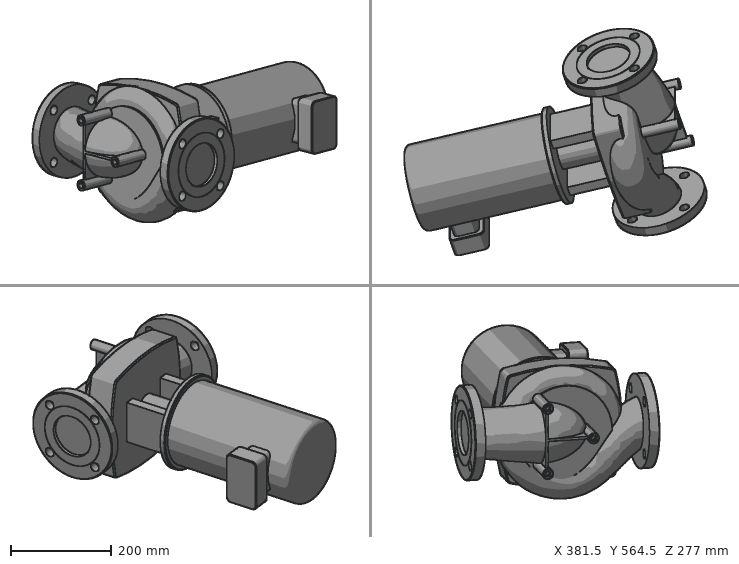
import cadquery as cq
import math


MOTOR_RADIUS = 88.5
MOTOR_BACK_Y = 459.0
MOTOR_END_FILLET = 11.5
DISC_RADIUS = 99.0
DISC_FRONT_Y = 158.0
DISC_BACK_Y = 169.5
DISC_CHAMFER = 2.0
TERMINAL_Y = 383.0
BOX_INNER_X = 105.0
BOX_OUTER_X = 145.5
BOX_LENGTH = 72.0
BOX_HEIGHT = 109.5
BOX_CHAMFER = 1.5
NECK_INSET = 9.5
TERMINAL_CORNER_RADIUS = 11.0

BRACKET_THICKNESS = 21.0
BRACKET_HEIGHT = 90.0
BRACKET_CENTRE_X = 60.0
SHAFT_RADIUS = 30.0

HOUSING_BACK_Y = 59.5
HOUSING_FRONT_Y = 0.0
HOUSING_HALF_WIDTH = 125.0
HOUSING_CORNER = 110.5
HOUSING_CORNER_RADIUS = 11.5
HOUSING_CHAMFER = 3.0

EYE_RADIUS = 97.0
EYE_CENTRE_Z = -7.0
EYE_FRONT_Y = -27.5
EYE_BACK_Y = 28.0
SCROLL_CENTRE_X = 1.5
SCROLL_START_ANGLE = -15
SCROLL_JOIN_ANGLE = 30
SCROLL_GROWTH_ANGLE = 90
SCROLL_END_ANGLE = 270
SCROLL_STEP = 15
SCROLL_START_REACH = 124.0
SCROLL_END_REACH = 152.0
SCROLL_START_TUBE = 27.5
SCROLL_END_TUBE = 39.5
SCROLL_START_Y = 3.5
SCROLL_END_Y = 10.0

FLANGE_DIAMETER = 190.5
FLANGE_RADIUS = FLANGE_DIAMETER / 2
FLANGE_THICKNESS = 22.0
FLANGE_CHAMFER = 1.5
INLET_FACE_X = -203.5
OUTLET_FACE_X = 178.0
RAISED_FACE_RADIUS = 65.5
RAISED_FACE_HEIGHT = 0.5
BORE_RADIUS = 44.5
BORE_DEPTH = 8.0
BOLT_HOLE_DIAMETER = 19.0
BOLT_CIRCLE_DIAMETER = 152.5
BOLT_COUNT = 4
INLET_PIPE_START_Y = -3.5
INLET_PIPE_START_RADIUS = 51.0
INLET_PIPE_MIDDLE_X = -124.0
INLET_PIPE_MIDDLE_Y = -24.5
INLET_PIPE_MIDDLE_RADIUS = 54.0
INLET_PIPE_SLOPE = -0.3
ELBOW_X = -56.5
ELBOW_Y = -34.5
ELBOW_RADIUS = 61.5
ELBOW_REACH = 97.5
OUTLET_STATIONS = [
    (53.0, 8.0, -96.0, 27, 41.0),
    (90.5, 5.0, -62.5, 45, 42.5),
    (123.0, 2.0, -28.0, 42, 45.0),
    (156.0, 0.5, -4.5, 28, 48.0),
    (186.5, 0.0, 9.0, 22, 49.5),
]

FOOT_DIAMETER = 21.5
FOOT_HOLE_DIAMETER = 11.5
FOOT_HOLE_DEPTH = 11.5
FOOT_CHAMFER = 1.0
FOOT_FRONT_Y = -105.5
FOOT_BACK_Y = 0.0
SIDE_FOOT_X = -55.5
SIDE_FOOT_Z = 67.0
END_FOOT_X = 39.0
RIB_THICKNESS = 5.0
RIB_FRONT_Y = -96.0


def disc_along_y(radius, front_y, back_y, x=0.0, z=0.0):
    plane = cq.Plane(origin=(x, front_y, z), xDir=(1, 0, 0), normal=(0, 1, 0))
    return cq.Workplane(plane).circle(radius).extrude(back_y - front_y)


def box_between(x_range, y_range, z_range):
    sizes = [high - low for low, high in (x_range, y_range, z_range)]
    corner = (x_range[0], y_range[0], z_range[0])
    return cq.Workplane("XY").box(*sizes, centered=False).translate(corner)


def make_motor():
    motor = disc_along_y(MOTOR_RADIUS, DISC_BACK_Y, MOTOR_BACK_Y)
    return motor.faces(">Y").edges().fillet(MOTOR_END_FILLET)


def make_mounting_disc():
    disc = disc_along_y(DISC_RADIUS, DISC_FRONT_Y, DISC_BACK_Y)
    return disc.faces(">Y").edges().chamfer(DISC_CHAMFER)


def rounded_bar_along_x(start_x, end_x, length, height):
    plane = cq.Plane(origin=(start_x, TERMINAL_Y, 0), xDir=(0, 1, 0), normal=(1, 0, 0))
    bar = cq.Workplane(plane).rect(length, height).extrude(end_x - start_x)
    return bar.edges("|X").fillet(TERMINAL_CORNER_RADIUS)


def make_terminal_box(motor):
    box = rounded_bar_along_x(BOX_INNER_X, BOX_OUTER_X, BOX_LENGTH, BOX_HEIGHT)
    box = box.faces("<X or >X").edges().chamfer(BOX_CHAMFER)
    neck_length = BOX_LENGTH - 2 * NECK_INSET
    neck_height = BOX_HEIGHT - 2 * NECK_INSET
    neck = rounded_bar_along_x(MOTOR_RADIUS / 2, BOX_INNER_X, neck_length, neck_height)
    return box.union(neck.cut(motor))


def make_bracket(side):
    centre_y = (HOUSING_BACK_Y + DISC_FRONT_Y) / 2
    bracket = cq.Workplane("XY").box(BRACKET_THICKNESS, DISC_FRONT_Y - HOUSING_BACK_Y, BRACKET_HEIGHT)
    return bracket.translate((side * BRACKET_CENTRE_X, centre_y, 0))


def make_shaft():
    return disc_along_y(SHAFT_RADIUS, HOUSING_BACK_Y, DISC_FRONT_Y)


def make_housing(casing):
    plane = cq.Plane(origin=(0, HOUSING_FRONT_Y, 0), xDir=(-1, 0, 0), normal=(0, 1, 0))
    c = HOUSING_CORNER
    w = HOUSING_HALF_WIDTH
    housing = (
        cq.Workplane(plane)
        .moveTo(-c, -c)
        .threePointArc((0, -w), (c, -c))
        .threePointArc((w, 0), (c, c))
        .threePointArc((0, w), (-c, c))
        .threePointArc((-w, 0), (-c, -c))
        .close()
        .extrude(HOUSING_BACK_Y - HOUSING_FRONT_Y)
    )
    housing = housing.edges("|Y").fillet(HOUSING_CORNER_RADIUS)
    housing = housing.faces("<Y or >Y").edges().chamfer(HOUSING_CHAMFER)
    return housing.cut(casing)


def tube_section(centre, direction, radius, across):
    """Circle square to the tube direction, with its start point on the across side."""
    plane = cq.Plane(origin=centre, xDir=across, normal=direction)
    return cq.Workplane(plane).circle(radius).wires().val()


def scroll_section(angle):
    """Circle of the scroll tube at an angle about Y, measured from +X towards +Z."""
    growth = max(0.0, (angle - SCROLL_GROWTH_ANGLE) / (SCROLL_END_ANGLE - SCROLL_GROWTH_ANGLE))
    tube = SCROLL_START_TUBE + growth * (SCROLL_END_TUBE - SCROLL_START_TUBE)
    reach = SCROLL_START_REACH + growth * (SCROLL_END_REACH - SCROLL_START_REACH)
    y = SCROLL_START_Y + growth * (SCROLL_END_Y - SCROLL_START_Y)
    cosine = math.cos(math.radians(angle))
    sine = math.sin(math.radians(angle))
    centre = (SCROLL_CENTRE_X + (reach - tube) * cosine, y, (reach - tube) * sine)
    return tube_section(centre, (-sine, 0, cosine), tube, (0, 1, 0))


def make_scroll_start():
    """Even ring segment that leads into the growing part of the scroll."""
    tube_offset = SCROLL_START_REACH - SCROLL_START_TUBE
    ring = (
        cq.Workplane("XY", origin=(SCROLL_CENTRE_X, SCROLL_START_Y, 0))
        .center(tube_offset, 0)
        .circle(SCROLL_START_TUBE)
        .revolve(SCROLL_JOIN_ANGLE - SCROLL_START_ANGLE, (-tube_offset, 5.5, 0), (-tube_offset, 0, 0))
    )
    axis_point = (SCROLL_CENTRE_X, 0, 0)
    return ring.rotate(axis_point, (SCROLL_CENTRE_X, 1, 0), -SCROLL_START_ANGLE)


def make_scroll_and_outlet():
    """Growing tube that swings out of the scroll and up to the outlet flange."""
    angles = range(SCROLL_JOIN_ANGLE, SCROLL_END_ANGLE + 1, SCROLL_STEP)
    sections = [scroll_section(angle) for angle in angles]
    for x, y, z, rise_angle, radius in OUTLET_STATIONS:
        rise = math.radians(rise_angle)
        direction = (math.cos(rise), 0, math.sin(rise))
        sections.append(tube_section((x, y, z), direction, radius, (0, 1, 0)))
    tube = cq.Workplane(cq.Solid.makeLoft(sections))
    flange_inner_x = OUTLET_FACE_X - FLANGE_THICKNESS
    beyond = (flange_inner_x, flange_inner_x + 2 * FLANGE_RADIUS)
    across = (-FLANGE_RADIUS, FLANGE_RADIUS)
    return tube.cut(box_between(beyond, across, across))


def make_inlet_pipe():
    start = (INLET_FACE_X + FLANGE_THICKNESS, INLET_PIPE_START_Y, 0)
    middle = (INLET_PIPE_MIDDLE_X, INLET_PIPE_MIDDLE_Y, 0)
    end = (ELBOW_X, ELBOW_Y, 0)
    sections = [
        tube_section(start, (1, 0, 0), INLET_PIPE_START_RADIUS, (0, 0, 1)),
        tube_section(middle, (1, INLET_PIPE_SLOPE, 0), INLET_PIPE_MIDDLE_RADIUS, (0, 0, 1)),
        tube_section(end, (1, 0, 0), ELBOW_RADIUS, (0, 0, 1)),
    ]
    return cq.Workplane(cq.Solid.makeLoft(sections))


def make_inlet_elbow():
    """Half of an egg-shaped body whose long axis lies along X."""
    return (
        cq.Workplane("XY", origin=(ELBOW_X, ELBOW_Y, 0))
        .moveTo(ELBOW_REACH, 0)
        .ellipseArc(ELBOW_REACH, ELBOW_RADIUS, 0, 90, startAtCurrent=True)
        .lineTo(0, 0)
        .close()
        .revolve(360, (0, 0, 0), (1, 0, 0))
    )


def make_ribs():
    half = RIB_THICKNESS / 2
    y_range = (RIB_FRONT_Y, EYE_FRONT_Y)
    upright = box_between((SIDE_FOOT_X - half, SIDE_FOOT_X + half), y_range, (-SIDE_FOOT_Z, SIDE_FOOT_Z))
    crosswise = box_between((SIDE_FOOT_X, END_FOOT_X), y_range, (-half, half))
    return upright.union(crosswise)


def foot_places():
    return [(SIDE_FOOT_X, SIDE_FOOT_Z), (SIDE_FOOT_X, -SIDE_FOOT_Z), (END_FOOT_X, 0)]


def make_foot(x, z):
    foot = disc_along_y(FOOT_DIAMETER / 2, FOOT_FRONT_Y, FOOT_BACK_Y, x, z)
    return foot.faces("<Y").edges().chamfer(FOOT_CHAMFER)


def make_casing():
    casing = make_scroll_start().union(make_scroll_and_outlet())
    casing = casing.union(disc_along_y(EYE_RADIUS, EYE_FRONT_Y, EYE_BACK_Y, 0, EYE_CENTRE_Z))
    casing = casing.union(make_inlet_pipe().union(make_inlet_elbow()))
    casing = casing.union(make_ribs())
    for x, z in foot_places():
        casing = casing.union(make_foot(x, z))
    for x, z in foot_places():
        hole_back_y = FOOT_FRONT_Y + FOOT_HOLE_DEPTH
        casing = casing.cut(disc_along_y(FOOT_HOLE_DIAMETER / 2, FOOT_FRONT_Y, hole_back_y, x, z))
    return casing


def make_flange(face_x, outward):
    """Pipe flange with its raised face at face_x, looking along X in the outward direction."""
    body_thickness = FLANGE_THICKNESS - RAISED_FACE_HEIGHT
    inner_plane = cq.Plane(
        origin=(face_x - outward * FLANGE_THICKNESS, 0, 0), xDir=(0, 1, 0), normal=(outward, 0, 0)
    )
    flange = cq.Workplane(inner_plane).circle(FLANGE_RADIUS).extrude(body_thickness)
    flange = flange.faces(">X" if outward > 0 else "<X").edges().chamfer(FLANGE_CHAMFER)
    flange = flange.union(cq.Workplane(inner_plane).circle(RAISED_FACE_RADIUS).extrude(FLANGE_THICKNESS))
    bore = (
        cq.Workplane(inner_plane)
        .workplane(offset=FLANGE_THICKNESS - BORE_DEPTH)
        .circle(BORE_RADIUS)
        .extrude(BORE_DEPTH)
    )
    bolt_holes = (
        cq.Workplane(inner_plane)
        .polarArray(BOLT_CIRCLE_DIAMETER / 2, 180 / BOLT_COUNT, 360, BOLT_COUNT)
        .circle(BOLT_HOLE_DIAMETER / 2)
        .extrude(FLANGE_THICKNESS)
    )
    return flange.cut(bore).cut(bolt_holes)


motor = make_motor()
mounting_disc = make_mounting_disc()
terminal_box = make_terminal_box(motor)
brackets = [make_bracket(side) for side in (-1, 1)]
shaft = make_shaft()
casing = make_casing()
housing = make_housing(casing)
flanges = [make_flange(INLET_FACE_X, -1), make_flange(OUTLET_FACE_X, 1)]

result = cq.Compound.makeCompound(
    [
        motor.val(),
        mounting_disc.val(),
        terminal_box.val(),
        *[bracket.val() for bracket in brackets],
        shaft.val(),
        casing.val(),
        housing.val(),
        *[flange.val() for flange in flanges],
    ]
)